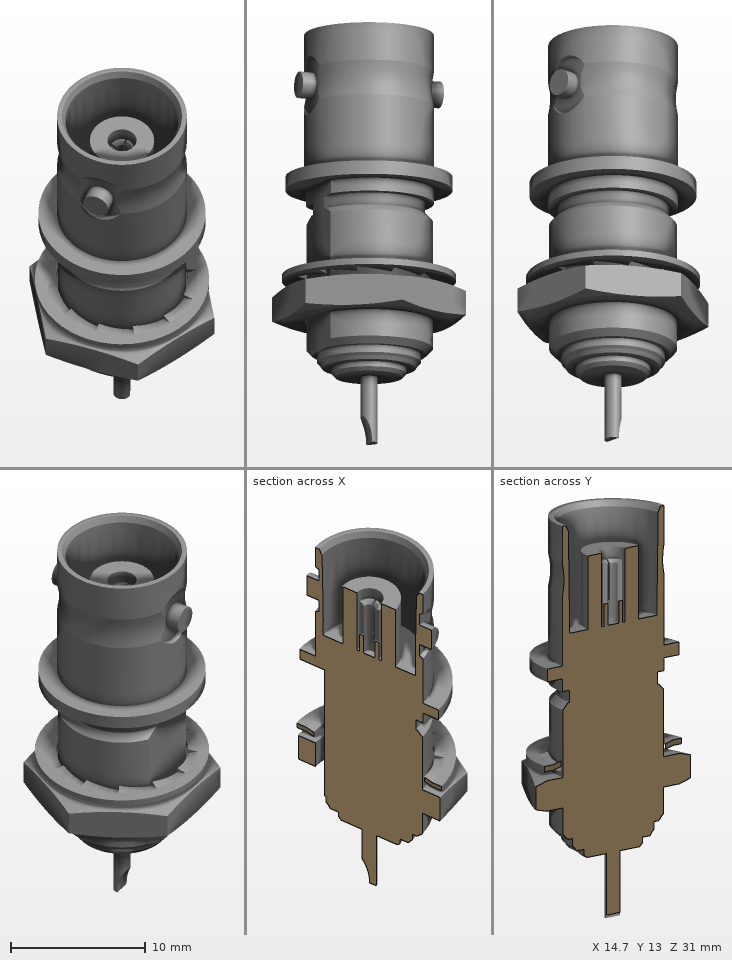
import cadquery as cq
import math

TOP_Z = 31.0

BARREL_R = 4.85
FLANGE_R = 6.23
FLANGE_TOP_Z = 20.2
FLANGE_BOTTOM_Z = 19.2
COLLAR_BOTTOM_Z = 18.2
NECK_R = 4.2
THREAD_R = 4.77
THREAD_TOP_Z = 16.8
THREAD_CHAMFER = 0.5
THREAD_BOTTOM_Z = 6.7
SHOULDER_R = 3.88
SHOULDER_BREAK_Z = 6.15
SHOULDER_BREAK = 0.2
SHOULDER_BOTTOM_Z = 5.67
SHOULDER_TIP_R = 3.5
BOSS_R = 2.8
BOSS_BOTTOM_Z = 5.0
BOSS_CHAMFER = 0.28
FLAT_Y = 4.0

BAYONET_Z = 26.85
GROOVE_HALF_WIDTH = 1.3
GROOVE_DEPTH = 0.15
LUG_R = 1.0
LUG_TIP_Y = 5.58
SPOTFACE_Y = 4.53
SPOTFACE_FLOOR_R = 2.08
SPOTFACE_DRAFT = 0.15

SOCKET_RIM_R = 4.45
SOCKET_THROAT_R = 4.22
SOCKET_LEAD_DEPTH = 0.45
SOCKET_FLOOR_R = 4.1
SOCKET_FLOOR_Z = 22.63
INSULATOR_R = 2.4
INSULATOR_TOP_Z = 28.3
INSULATOR_HOLE_R = 1.1
CONTACT_R = 0.9
CONTACT_TOP_Z = 27.45
CONTACT_MOUTH_R = 0.7
CONTACT_BORE_R = 0.5
CONTACT_SLIT_WIDTH = 0.15
CONTACT_SLIT_LENGTH = 3.1
CONTACT_LEAD_DEPTH = CONTACT_MOUTH_R - CONTACT_BORE_R

TAIL_R = 0.65
TAIL_CUT_TOP_Z = 2.08
TAIL_CUTTER_R = 3.1

NUT_FLATS = 12.7
NUT_CORNERS = NUT_FLATS / math.cos(math.radians(30))
NUT_BOTTOM_Z = 9.2
NUT_TOP_Z = 11.6
NUT_FACE_R = 6.25
NUT_CHAMFER_ANGLE = 15.0

WASHER_R = 13.0 / 2
WASHER_RING_R = 5.65
WASHER_TOOTH_R = 4.9
WASHER_BOTTOM_Z = 12.28
WASHER_TOP_Z = 12.75
TOOTH_COUNT = 12
TOOTH_TWIST = 0.2


def revolve_profile(profile):
    """Turn a closed (radius, Z) sketch about the Z axis."""
    return profile.close().revolve(360, (0, 0, 0), (0, 1, 0))


def make_barrel():
    """Turned outer shape with the bayonet groove, before any hole is cut."""
    profile = (
        cq.Workplane("XZ")
        .moveTo(0, BOSS_BOTTOM_Z)
        .lineTo(BOSS_R - BOSS_CHAMFER, BOSS_BOTTOM_Z)
        .lineTo(BOSS_R, BOSS_BOTTOM_Z + BOSS_CHAMFER)
        .lineTo(BOSS_R, SHOULDER_BOTTOM_Z)
        .lineTo(SHOULDER_TIP_R, SHOULDER_BOTTOM_Z)
        .lineTo(SHOULDER_R - SHOULDER_BREAK, SHOULDER_BREAK_Z - SHOULDER_BREAK)
        .lineTo(SHOULDER_R, SHOULDER_BREAK_Z)
        .lineTo(SHOULDER_R, THREAD_BOTTOM_Z)
        .lineTo(THREAD_R - THREAD_CHAMFER, THREAD_BOTTOM_Z)
        .lineTo(THREAD_R, THREAD_BOTTOM_Z + THREAD_CHAMFER)
        .lineTo(THREAD_R, THREAD_TOP_Z)
        .lineTo(THREAD_R - THREAD_CHAMFER, THREAD_TOP_Z + THREAD_CHAMFER)
        .lineTo(NECK_R, THREAD_TOP_Z + THREAD_CHAMFER)
        .lineTo(NECK_R, COLLAR_BOTTOM_Z)
        .lineTo(BARREL_R, COLLAR_BOTTOM_Z)
        .lineTo(BARREL_R, FLANGE_BOTTOM_Z)
        .lineTo(FLANGE_R, FLANGE_BOTTOM_Z)
        .lineTo(FLANGE_R, FLANGE_TOP_Z)
        .lineTo(BARREL_R, FLANGE_TOP_Z)
        .lineTo(BARREL_R, BAYONET_Z - GROOVE_HALF_WIDTH)
        .threePointArc(
            (BARREL_R - GROOVE_DEPTH, BAYONET_Z),
            (BARREL_R, BAYONET_Z + GROOVE_HALF_WIDTH),
        )
        .lineTo(BARREL_R, TOP_Z)
        .lineTo(0, TOP_Z)
    )
    return revolve_profile(profile)


def make_socket_cutter():
    """Open space inside the top: tapered socket around the insulator, and the bores within it."""
    insulator = (
        cq.Workplane("XY").workplane(offset=SOCKET_FLOOR_Z)
        .circle(INSULATOR_R).circle(INSULATOR_HOLE_R)
        .extrude(INSULATOR_TOP_Z - SOCKET_FLOOR_Z)
    )
    contact = revolve_profile(
        cq.Workplane("XZ")
        .moveTo(CONTACT_BORE_R, SOCKET_FLOOR_Z)
        .lineTo(CONTACT_R, SOCKET_FLOOR_Z)
        .lineTo(CONTACT_R, CONTACT_TOP_Z)
        .lineTo(CONTACT_MOUTH_R, CONTACT_TOP_Z)
        .lineTo(CONTACT_BORE_R, CONTACT_TOP_Z - CONTACT_LEAD_DEPTH)
    )
    for slit_size in ((2 * CONTACT_R, CONTACT_SLIT_WIDTH), (CONTACT_SLIT_WIDTH, 2 * CONTACT_R)):
        contact = contact.cut(
            cq.Workplane("XY").workplane(offset=CONTACT_TOP_Z)
            .rect(*slit_size)
            .extrude(-CONTACT_SLIT_LENGTH)
        )
    socket = revolve_profile(
        cq.Workplane("XZ")
        .moveTo(0, SOCKET_FLOOR_Z)
        .lineTo(SOCKET_FLOOR_R, SOCKET_FLOOR_Z)
        .lineTo(SOCKET_THROAT_R, TOP_Z - SOCKET_LEAD_DEPTH)
        .lineTo(SOCKET_RIM_R, TOP_Z)
        .lineTo(0, TOP_Z)
    )
    return socket.cut(insulator).cut(contact)


def make_anti_rotation_cutter():
    """Block that mills the +Y flat along the collar, neck and thread."""
    depth = 2 * (BARREL_R - FLAT_Y)
    return (
        cq.Workplane("XY").workplane(offset=BOSS_BOTTOM_Z)
        .center(0, FLAT_Y + depth / 2)
        .rect(2 * BARREL_R, depth)
        .extrude(FLANGE_BOTTOM_Z - BOSS_BOTTOM_Z)
    )


def make_spotface_cutter(side):
    """Drafted round recess around one lug; side is +1 for +Y and -1 for -Y."""
    depth = BARREL_R - SPOTFACE_Y
    return cq.Workplane(cq.Solid.makeCone(
        SPOTFACE_FLOOR_R,
        SPOTFACE_FLOOR_R + SPOTFACE_DRAFT,
        depth,
        cq.Vector(0, side * SPOTFACE_Y, BAYONET_Z),
        cq.Vector(0, side, 0),
    ))


def make_lug(side):
    """Bayonet lug rooted in the socket wall; side is +1 for +Y and -1 for -Y."""
    root_y = (SOCKET_THROAT_R + SPOTFACE_Y) / 2
    return cq.Workplane(cq.Solid.makeCylinder(
        LUG_R,
        LUG_TIP_Y - root_y,
        cq.Vector(0, side * root_y, BAYONET_Z),
        cq.Vector(0, side, 0),
    ))


def make_tail():
    """Round solder tail, its tip scooped to a half round on the +Y side."""
    tail = cq.Workplane("XY").circle(TAIL_R).extrude(BOSS_BOTTOM_Z)
    tangent_z = TAIL_CUT_TOP_Z - math.sqrt(TAIL_CUTTER_R**2 - (TAIL_CUTTER_R - TAIL_R)**2)
    scoop = (
        cq.Workplane("YZ").center(TAIL_CUTTER_R, tangent_z)
        .circle(TAIL_CUTTER_R)
        .extrude(TAIL_R, both=True)
    )
    tip_flat = cq.Workplane("XY").box(
        2 * TAIL_R, TAIL_R, tangent_z, centered=(True, False, False)
    )
    return tail.cut(scoop).cut(tip_flat)


def make_nut():
    """Hexagonal nut with conical corner chamfers and a bore that fits the thread."""
    height = NUT_TOP_Z - NUT_BOTTOM_Z
    corner_r = NUT_CORNERS / 2
    drop = (corner_r - NUT_FACE_R) * math.tan(math.radians(NUT_CHAMFER_ANGLE))
    hexagon = (
        cq.Workplane("XY").workplane(offset=NUT_BOTTOM_Z)
        .polygon(6, NUT_CORNERS)
        .circle(THREAD_R)
        .extrude(height)
    )
    chamfer_envelope = revolve_profile(
        cq.Workplane("XZ")
        .moveTo(0, NUT_BOTTOM_Z)
        .lineTo(NUT_FACE_R, NUT_BOTTOM_Z)
        .lineTo(corner_r, NUT_BOTTOM_Z + drop)
        .lineTo(corner_r, NUT_TOP_Z - drop)
        .lineTo(NUT_FACE_R, NUT_TOP_Z)
        .lineTo(0, NUT_TOP_Z)
    )
    return hexagon.intersect(chamfer_envelope)


def make_connector():
    """Connector jack with its nut, lugs and tail as one body."""
    connector = make_barrel().cut(make_socket_cutter()).cut(make_anti_rotation_cutter())
    for side in (1, -1):
        connector = connector.cut(make_spotface_cutter(side)).union(make_lug(side))
    return connector.union(make_tail()).union(make_nut())


def tooth_arc(radius, z, twist):
    """Arc over one tooth pitch, twist above z at its start and the same below z at its end."""
    pitch = 2 * math.pi / TOOTH_COUNT
    points = []
    for step in (0, 0.5, 1):
        angle = step * pitch
        rise = twist * (1 - 2 * step)
        points.append(cq.Vector(radius * math.cos(angle), radius * math.sin(angle), z + rise))
    return cq.Edge.makeThreePointArc(*points)


def make_tooth():
    """One twisted tooth, level at the ring and tilted along its inner edge."""
    root_bottom, root_top = (tooth_arc(WASHER_RING_R, z, 0) for z in (WASHER_BOTTOM_Z, WASHER_TOP_Z))
    tip_bottom, tip_top = (
        tooth_arc(WASHER_TOOTH_R, z, TOOTH_TWIST) for z in (WASHER_BOTTOM_Z, WASHER_TOP_Z)
    )
    faces = [
        cq.Face.makeRuledSurface(root_bottom, root_top),
        cq.Face.makeRuledSurface(root_top, tip_top),
        cq.Face.makeRuledSurface(tip_top, tip_bottom),
        cq.Face.makeRuledSurface(tip_bottom, root_bottom),
    ]
    for end in (0, 1):
        corners = [edge.positionAt(end) for edge in (root_bottom, root_top, tip_top, tip_bottom)]
        faces.append(cq.Face.makeFromWires(cq.Wire.makePolygon(corners, close=True)))
    return cq.Solid.makeSolid(cq.Shell.makeShell(faces))


def make_washer():
    """Plain ring with a full circle of twisted internal teeth."""
    washer = (
        cq.Workplane("XY").workplane(offset=WASHER_BOTTOM_Z)
        .circle(WASHER_R).circle(WASHER_RING_R)
        .extrude(WASHER_TOP_Z - WASHER_BOTTOM_Z)
    )
    tooth = make_tooth()
    for index in range(TOOTH_COUNT):
        angle = index * 360 / TOOTH_COUNT
        washer = washer.union(cq.Workplane(tooth.rotate(cq.Vector(), cq.Vector(0, 0, 1), angle)))
    return washer


connector = make_connector()
washer = make_washer()
result = cq.Compound.makeCompound([connector.solids().val(), washer.solids().val()])